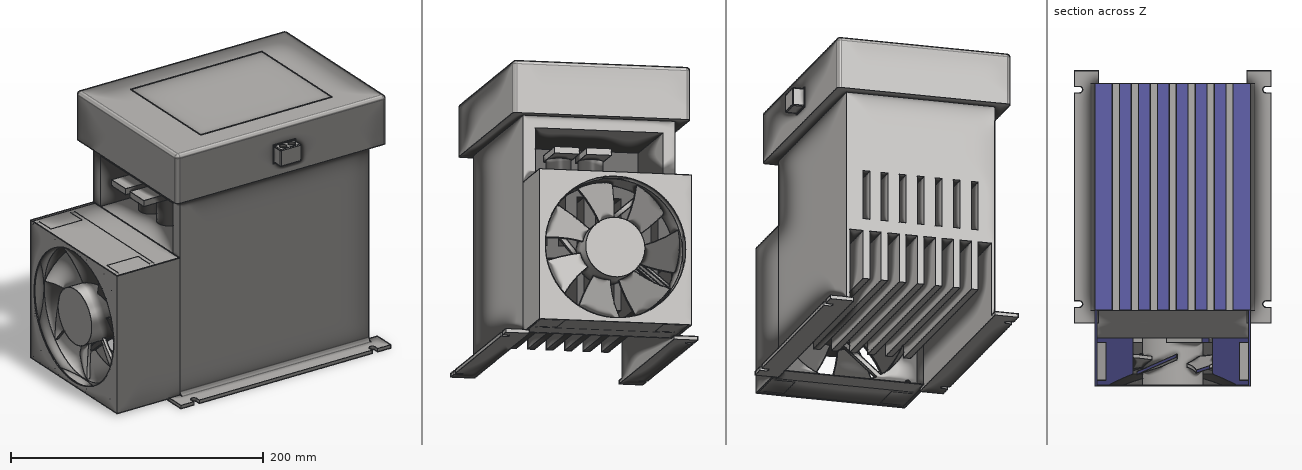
import cadquery as cq
import math


body_width = 123.5
body_length = 180.0
body_front = -body_length / 2
side_wall = 3.0

flange_span = 156.0
flange_length = 200.0
flange_thickness = 3.0
flange_bend_radius = 3.0
slot_width = 5.0
slot_depth = 6.5
slot_y = 85.0

total_height = 220.0
lid_width = 144.0
lid_length = 200.0
lid_bottom = 177.5
lid_fillet = 3.0
display_width = 100.0
display_length = 125.0
display_recess = 0.5

terminal_end_x = 82.0
terminal_length = 20.0
terminal_height = 15.0
terminal_y = 2.2
terminal_z = 197.0
terminal_chamfer = 0.8
terminal_collar = 0.8
terminal_hole_diameter = 6.0
terminal_hole_pitch = 8.2
terminal_hole_x = 76.8
terminal_hole_depth = 2.5

deck_z = 123.5
bay_width = 103.5
bay_top = 167.8
bay_depth = 90.0

capacitor_diameter = 20.0
capacitor_y = -59.2
tab_top = 153.2
tab_thickness = 5.2
capacitor_spacing = 26.0
capacitor_count = 2

fin_pitch = 15.0
fin_count = 7
fin_width = 5.5
fin_height = 40.0
heat_sink_base_bottom = 63.2
heat_sink_base_thickness = 10.0

shroud_front = -150.0
shroud_bottom = 2.5
shroud_plate = 1.0

fan_size = 120.0
fan_depth = 37.2
fan_flange_thickness = 3.8
fan_corner_radius = 4.5
fan_corner_cut = 20.0
fan_opening_diameter = 114.0
fan_bore_diameter = 113.0
fan_flare_depth = 8.5
fan_flare_diameter = 137.5
fan_flare_width = 113.5
screw_diameter = 4.2
screw_pitch = 105.0

hub_diameter = 48.0
blade_count = 7
blade_root_radius = 22.0
blade_mid_radius = 38.5
blade_tip_radius = 55.5
blade_middle_angle = 101.0
blade_leading_root_angle = 113.6
blade_leading_mid_angle = 116.6
blade_leading_tip_angle = 121.2
blade_trailing_root_angle = 81.7
blade_trailing_mid_angle = 84.5
blade_trailing_tip_angle = 87.5
blade_tip_fillet = 2.0
blade_tilt = 24.0
blade_thickness = 2.5
blade_mid_depth = 17.8
strut_thickness = 3.8
strut_width = 3.8
strut_offset = 19.2
strut_angles = (40.0, 130.0, 220.0)
cable_strut_width = 7.0
cable_strut_offset = 11.5
cable_strut_angle = -39.0
cable_groove_width = 3.0
cable_groove_depth = 2.0
strut_embed = 0.5

shroud_top = deck_z
fan_z = (shroud_bottom + shroud_top) / 2
fan_front = shroud_front + shroud_plate
fan_back = fan_front + fan_depth
hub_radius = hub_diameter / 2


def block(x_range, y_range, z_range):
    """Box between two limits on each axis."""
    size = [high - low for low, high in (x_range, y_range, z_range)]
    corner = (x_range[0], y_range[0], z_range[0])
    return cq.Workplane("XY").box(*size, centered=False).translate(corner)


def centred_block(width, y_range, z_range):
    """Box centred on X."""
    return block((-width / 2, width / 2), y_range, z_range)


def fan_plane(y):
    """Sketch plane on the fan axis; local x is +X, local y is +Z and extrusions run towards -Y."""
    return cq.Workplane("XZ", origin=(0, y, fan_z))


def make_cabinet():
    length = (body_front, -body_front)
    cabinet = centred_block(body_width, length, (0, lid_bottom))
    inner_width = body_width - 2 * side_wall
    return cabinet.cut(centred_block(inner_width, length, (0, heat_sink_base_bottom)))


def cut_component_bay(cabinet):
    bay = centred_block(bay_width, (body_front, body_front + bay_depth), (deck_z, bay_top))
    return cabinet.cut(bay)


def shape_heat_sink(cabinet):
    """Air slots above the heat sink base and fins in line with them below it."""
    length = (body_front, -body_front)
    slot_bottom = heat_sink_base_bottom + heat_sink_base_thickness
    for index in range(fin_count):
        x = (index - (fin_count - 1) / 2) * fin_pitch
        width = (x - fin_width / 2, x + fin_width / 2)
        cabinet = cabinet.cut(block(width, length, (slot_bottom, slot_bottom + fin_height)))
        fin = block(width, length, (heat_sink_base_bottom - fin_height, heat_sink_base_bottom))
        cabinet = cabinet.union(fin)
    return cabinet


def make_flange(side):
    """Slotted mounting flange with its bend; side is -1 or +1 along X."""
    inner = body_width / 2 - side_wall
    outer = flange_span / 2
    flange = block((inner, outer), (-flange_length / 2, flange_length / 2), (0, flange_thickness))
    for y in (-slot_y, slot_y):
        end_x = outer - slot_depth + slot_width / 2
        slot = block((end_x, outer), (y - slot_width / 2, y + slot_width / 2), (0, flange_thickness))
        slot_end = cq.Workplane("XY", origin=(end_x, y, 0)).circle(slot_width / 2).extrude(flange_thickness)
        flange = flange.cut(slot).cut(slot_end)
    bend = (
        cq.Workplane("XZ", origin=(body_width / 2, -body_front, flange_thickness))
        .lineTo(flange_bend_radius, 0)
        .radiusArc((0, flange_bend_radius), flange_bend_radius)
        .close()
        .extrude(body_length)
    )
    flange = flange.union(bend)
    return flange if side > 0 else flange.mirror("YZ")


def make_lid():
    lid = centred_block(lid_width, (-lid_length / 2, lid_length / 2), (lid_bottom, total_height))
    lid = lid.edges("|Z or >Z").fillet(lid_fillet)
    display = centred_block(
        display_width,
        (-display_length / 2, display_length / 2),
        (total_height - display_recess, total_height),
    )
    return lid.cut(display)


def make_terminal_block():
    lid_side = lid_width / 2
    top = terminal_z + terminal_height / 2
    terminal = block(
        (lid_side, terminal_end_x),
        (terminal_y - terminal_length / 2, terminal_y + terminal_length / 2),
        (top - terminal_height, top),
    )
    terminal = terminal.edges("|X or >X").chamfer(terminal_chamfer)
    collar = (
        cq.Workplane("YZ", origin=(lid_side, terminal_y, terminal_z))
        .rect(terminal_length + 2 * terminal_collar, terminal_height + 2 * terminal_collar)
        .extrude(terminal_collar)
    )
    holes = (
        cq.Workplane("XY", origin=(terminal_hole_x, terminal_y, top - terminal_hole_depth))
        .rarray(2.5, terminal_hole_pitch, 1, 2)
        .circle(terminal_hole_diameter / 2)
        .extrude(terminal_hole_depth)
    )
    return terminal.cut(holes).union(collar)


def make_capacitor(x):
    """Round can with a flat terminal tab on top that reaches forward to the front of the bay."""
    tab_bottom = tab_top - tab_thickness
    radius = capacitor_diameter / 2
    can = cq.Workplane("XY", origin=(x, capacitor_y, deck_z)).circle(radius).extrude(tab_bottom - deck_z)
    tab = block((x - radius, x + radius), (body_front, capacitor_y + radius), (tab_bottom, tab_top))
    return can.union(tab)


def make_housing():
    housing = shape_heat_sink(cut_component_bay(make_cabinet()))
    for side in (-1, 1):
        housing = housing.union(make_flange(side))
    housing = housing.union(make_lid()).union(make_terminal_block())
    for index in range(capacitor_count):
        housing = housing.union(make_capacitor(-index * capacitor_spacing))
    return housing


def make_shroud():
    """Sleeve around the fan, open at the back, with a round opening in its front plate."""
    shroud = centred_block(body_width, (shroud_front, body_front), (shroud_bottom, shroud_top))
    half_fan = fan_size / 2
    cavity = centred_block(fan_size, (fan_front, body_front), (fan_z - half_fan, fan_z + half_fan))
    opening = fan_plane(fan_front).circle(fan_opening_diameter / 2).extrude(shroud_plate)
    for side in (-1, 1):
        shroud = shroud.cut(make_flange(side))
    return shroud.cut(cavity).cut(opening)


def make_fan_frame():
    """Square frame with cut corners between its two flanges and a bore that flares open at the front.

    The flare is cone shaped, trimmed flat where it would come too close to the frame sides.
    """
    frame = fan_plane(fan_back).rect(fan_size, fan_size).extrude(fan_depth)
    frame = frame.edges("|Y").fillet(fan_corner_radius)
    waist_back = fan_back - fan_flange_thickness
    waist_depth = fan_depth - 2 * fan_flange_thickness
    waist = fan_plane(waist_back).rect(fan_size, fan_size).extrude(waist_depth)
    waist_cut = waist.cut(waist.edges("|Y").chamfer(fan_corner_cut))
    bore = fan_plane(fan_back).circle(fan_bore_diameter / 2).extrude(fan_depth)
    flare = (
        fan_plane(fan_front + fan_flare_depth)
        .circle(fan_bore_diameter / 2)
        .workplane(offset=fan_flare_depth)
        .circle(fan_flare_diameter / 2)
        .loft()
    )
    flare_limit = fan_plane(fan_back).rect(fan_flare_width, fan_flare_width).extrude(fan_depth)
    flare = flare.intersect(flare_limit)
    screw_holes = (
        fan_plane(fan_back)
        .rect(screw_pitch, screw_pitch, forConstruction=True)
        .vertices()
        .circle(screw_diameter / 2)
        .extrude(fan_depth)
    )
    return frame.cut(waist_cut).cut(bore).cut(flare).cut(screw_holes)


def polar(radius, angle):
    """Point at an angle in degrees from +X about the fan axis."""
    return (radius * math.cos(math.radians(angle)), radius * math.sin(math.radians(angle)))


def make_blade():
    """Flat tilted blade pointing upwards, trimmed to its curved outline."""
    leading_root = polar(blade_root_radius, blade_leading_root_angle)
    leading_middle = polar(blade_mid_radius, blade_leading_mid_angle)
    leading_tip = polar(blade_tip_radius, blade_leading_tip_angle)
    trailing_root = polar(blade_root_radius, blade_trailing_root_angle)
    trailing_middle = polar(blade_mid_radius, blade_trailing_mid_angle)
    trailing_tip = polar(blade_tip_radius, blade_trailing_tip_angle)
    outline = (
        fan_plane(fan_back)
        .moveTo(*leading_root)
        .threePointArc(leading_middle, leading_tip)
        .threePointArc(polar(blade_tip_radius, blade_middle_angle), trailing_tip)
        .threePointArc(trailing_middle, trailing_root)
        .close()
        .extrude(fan_depth)
    )
    tip_edge_middle = (trailing_tip[0], (fan_front + fan_back) / 2, fan_z + trailing_tip[1])
    outline = outline.edges(cq.NearestToPointSelector(tip_edge_middle)).fillet(blade_tip_fillet)
    sheet_size = 2 * fan_size
    sheet = (
        cq.Workplane("XY")
        .box(sheet_size, blade_thickness, sheet_size)
        .rotate((0, 0, 0), (0, 0, 1), blade_tilt)
        .rotate((0, 0, 0), (0, 1, 0), 90 - blade_middle_angle)
        .translate((0, fan_front + blade_mid_depth, fan_z))
    )
    return outline.intersect(sheet)


def make_strut(angle, offset, width):
    """Bar at the back of the fan from the hub to the frame, set off to one side of the axis."""
    length = fan_bore_diameter / 2 + strut_embed
    bar = (
        fan_plane(fan_back)
        .center(length / 2, offset)
        .rect(length, width)
        .extrude(strut_thickness)
        .rotate((0, 0, fan_z), (0, 1, fan_z), -angle)
    )
    limit = fan_plane(fan_back).circle(length).extrude(strut_thickness)
    return bar.intersect(limit)


def make_cable_strut():
    """Wider strut with a groove for the fan cable along its front."""
    strut = make_strut(cable_strut_angle, cable_strut_offset, cable_strut_width)
    groove = make_strut(cable_strut_angle, cable_strut_offset, cable_groove_width)
    return strut.cut(groove.translate((0, cable_groove_depth - strut_thickness, 0)))


def make_fan():
    fan = fan_plane(fan_back).circle(hub_radius).extrude(fan_depth)
    blade = make_blade()
    for index in range(blade_count):
        fan = fan.union(blade.rotate((0, 0, fan_z), (0, 1, fan_z), index * 360 / blade_count))
    for angle in strut_angles:
        fan = fan.union(make_strut(angle, strut_offset, strut_width))
    return fan.union(make_cable_strut()).union(make_fan_frame())


housing = make_housing().solids()
shroud = make_shroud().solids()
fan = make_fan().solids()

result = cq.Compound.makeCompound([housing.val(), shroud.val(), fan.val()])